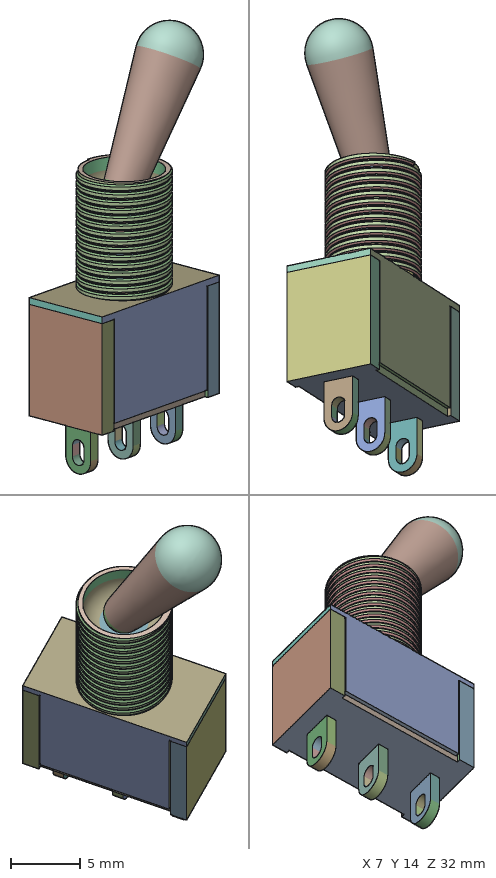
import cadquery as cq
import math

case_width = 7.0
case_length = 13.0
case_top = 9.0
plate_thickness = 0.5
plate_bottom = case_top - plate_thickness

panel_length = 10.22
panel_thickness = 0.3
panel_bottom = 0.57
panel_gap = 0.1

bushing_height = 8.95
bushing_top = case_top + bushing_height
bore_radius = 3.0
bore_wall_depth = 1.0
bowl_radius = 1.2
bowl_depth = bore_wall_depth + bowl_radius
thread_radius = case_width / 2
thread_depth = 0.145
thread_root_radius = thread_radius - thread_depth
thread_turns = 15
thread_pitch = bushing_height / thread_turns
thread_root_width = 0.5
thread_crest_width = 0.25
thread_embed = 0.03

lever_tilt = 30
lever_length = 10.0
lever_tip_radius = 2.5
lever_pivot_radius = 1.5
pivot_depth = 1.18

terminal_width = 2.4
terminal_thickness = 0.83
terminal_length = 4.02
terminal_spacing = 4.7
slot_width = 1.1
slot_height = 1.95


def block(width, length, bottom, top):
    """Box centred on the Z axis between two heights."""
    return cq.Workplane("XY").workplane(offset=bottom).rect(width, length).extrude(top - bottom)


def make_base():
    """Block under the cover, recessed on both X sides for the cover's panels."""
    core_width = case_width - 2 * panel_thickness
    recess_length = panel_length + 2 * panel_gap
    full = block(case_width, case_length, 0, plate_bottom)
    recess = block(case_width, recess_length, 0, plate_bottom)
    core = block(core_width, recess_length, 0, plate_bottom)
    return full.cut(recess.cut(core))


def make_frame():
    """Top plate with a panel hanging down on each X side."""
    plate = block(case_width, case_length, plate_bottom, case_top)
    panels = block(case_width, panel_length, panel_bottom, case_top)
    core = block(case_width - 2 * panel_thickness, panel_length, panel_bottom, plate_bottom)
    return plate.union(panels.cut(core))


def thread_flank_helix(radius, height):
    """Helix along one edge of the thread ridge, starting at the given height."""
    helix = cq.Wire.makeHelix(thread_pitch, bushing_height, radius)
    return helix.rotate(cq.Vector(0, 0, 0), cq.Vector(0, 0, 1), 180).translate(cq.Vector(0, 0, height))


def make_thread():
    """Right-handed ridge that starts on the -X side; both its ends overhang the bushing ends."""
    inner_radius = thread_root_radius - thread_embed
    flank_slope = (thread_root_width - thread_crest_width) / 2 / thread_depth
    inner_half_width = thread_root_width / 2 + flank_slope * thread_embed
    corners = [
        (inner_radius, -inner_half_width),
        (thread_radius, -thread_crest_width / 2),
        (thread_radius, thread_crest_width / 2),
        (inner_radius, inner_half_width),
    ]
    edges = [thread_flank_helix(radius, case_top + offset) for radius, offset in corners]
    flanks = [cq.Face.makeRuledSurface(edges[i - 1], edges[i]) for i in range(len(edges))]
    ends = [
        cq.Face.makeFromWires(
            cq.Wire.makePolygon([cq.Vector(-radius, 0, height + offset) for radius, offset in corners], close=True)
        )
        for height in (case_top, bushing_top)
    ]
    faces = [face for flank in flanks for face in flank.Faces()]
    return cq.Workplane(cq.Solid.makeSolid(cq.Shell.makeShell(faces + ends)))


def make_bore():
    """Bore with a short straight wall that rounds into a flat floor."""
    floor = bushing_top - bowl_depth
    wall_bottom = bushing_top - bore_wall_depth
    floor_radius = bore_radius - bowl_radius
    arc_step = bowl_radius * math.sqrt(0.5)
    return (
        cq.Workplane("XZ")
        .moveTo(0, floor)
        .lineTo(floor_radius, floor)
        .threePointArc((floor_radius + arc_step, wall_bottom - arc_step), (bore_radius, wall_bottom))
        .lineTo(bore_radius, bushing_top)
        .lineTo(0, bushing_top)
        .close()
        .revolve(360, (0, 0, 0), (0, 1, 0))
    )


def make_bushing():
    """Threaded post with a bore, its thread trimmed flush with both ends."""
    core = (
        cq.Workplane("XY")
        .workplane(offset=case_top - thread_pitch)
        .circle(thread_root_radius)
        .extrude(bushing_height + 2 * thread_pitch)
    )
    trim = block(2 * case_width, 2 * case_width, case_top, bushing_top)
    return core.union(make_thread()).intersect(trim).cut(make_bore())


def make_lever():
    """Cone tangent to its two round ends, with the pivot end centred on the Z axis."""
    taper = math.asin((lever_tip_radius - lever_pivot_radius) / lever_length)
    pivot_step = lever_pivot_radius * math.sqrt(0.5)
    tip_step = lever_tip_radius * math.sqrt(0.5)
    pivot_tangent = (lever_pivot_radius * math.cos(taper), -lever_pivot_radius * math.sin(taper))
    tip_tangent = (lever_tip_radius * math.cos(taper), lever_length - lever_tip_radius * math.sin(taper))
    return (
        cq.Workplane("XZ")
        .moveTo(0, -lever_pivot_radius)
        .threePointArc((pivot_step, -pivot_step), pivot_tangent)
        .lineTo(*tip_tangent)
        .threePointArc((tip_step, lever_length + tip_step), (0, lever_length + lever_tip_radius))
        .close()
        .revolve(360, (0, 0, 0), (0, 1, 0))
        .rotate((0, 0, 0), (1, 0, 0), -lever_tilt)
        .translate((0, 0, bushing_top - pivot_depth))
    )


def make_cover():
    """Frame, bushing and lever as one body."""
    return make_frame().union(make_bushing()).union(make_lever())


def make_terminal(y):
    """Flat tab under the base with a rounded lower end and a slot concentric with it."""
    end_radius = terminal_width / 2
    end_center = end_radius - terminal_length
    slot_center = end_center + (slot_height - slot_width) / 2
    tab = (
        cq.Workplane("XZ")
        .moveTo(-end_radius, 0)
        .lineTo(-end_radius, end_center)
        .threePointArc((0, -terminal_length), (end_radius, end_center))
        .lineTo(end_radius, 0)
        .close()
        .extrude(terminal_thickness / 2, both=True)
    )
    slot = (
        cq.Workplane("XZ")
        .center(0, slot_center)
        .slot2D(slot_height, slot_width, 90)
        .extrude(terminal_thickness, both=True)
    )
    return tab.cut(slot).translate((0, y, 0))


base = make_base()
cover = make_cover()
terminals = [make_terminal(row * terminal_spacing) for row in (-1, 0, 1)]

result = cq.Compound.makeCompound([base.val(), cover.val(), *[terminal.val() for terminal in terminals]])